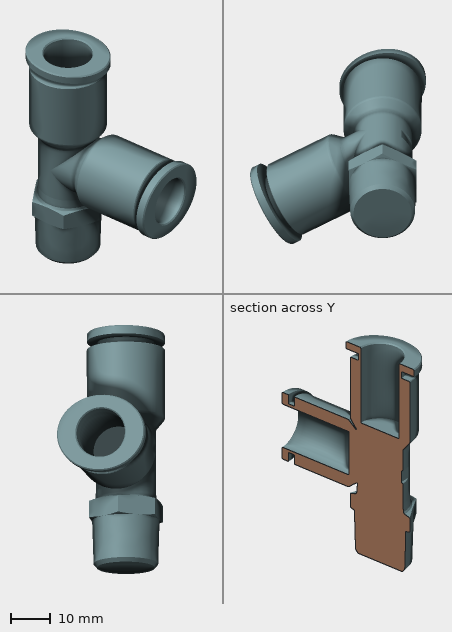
import cadquery as cq
import math


PIPE_RADIUS = 7.55
SOCKET_RADIUS = 9.85
SHOULDER_START = 7.5
SHOULDER_END = 10.35
SHOULDER_FILLET = 1.0
SOCKET_END = 28.2
SOCKET_EDGE_CHAMFER = 0.2

SLEEVE_RADIUS = 7.15
COLLAR_LENGTH = 22.5
COLLAR_WIDTH = 19.5
COLLAR_THICKNESS = 2.2
COLLAR_EDGE_CHAMFER = 0.3
BUTTON_END = 32.2
COLLAR_START = BUTTON_END - COLLAR_THICKNESS

BORE_RADIUS = 6.2
BORE_CHAMFER = 0.3
BORE_FLOOR = SHOULDER_END

SKIRT_TOP = -8.25
SKIRT_BOTTOM = -10.5
SKIRT_RADIUS = 7.75
FLARE_RADIUS = 8.15
HEX_TOP = -10.95
HEX_BOTTOM = -15.9
HEX_ACROSS_FLATS = 17.0
HEX_ACROSS_CORNERS = HEX_ACROSS_FLATS / math.cos(math.pi / 6)
HEX_TOP_FACE_RADIUS = 8.35
HEX_BOTTOM_FACE_RADIUS = HEX_ACROSS_FLATS / 2
HEX_CHAMFER_ANGLE = math.radians(16)
THREAD_TOP_RADIUS = HEX_ACROSS_FLATS / 2
THREAD_TAPER = 1 / 16
THREAD_END = -27.95
THREAD_CHAMFER_HEIGHT = 1.0
THREAD_END_RADIUS = 7.3

NOTCH_FLOOR_X = -7.05
NOTCH_CENTER_Z = -0.4
NOTCH_FLOOR_HEIGHT = 3.2
NOTCH_MOUTH_HEIGHT = 3.8


def cone(radius_bottom, radius_top, z_bottom, z_top):
    """Solid cone frustum on the Z axis."""
    profile = [(0, z_bottom), (radius_bottom, z_bottom), (radius_top, z_top), (0, z_top)]
    return cq.Workplane("XZ").polyline(profile).close().revolve(360, (0, 0), (0, 1))


def cylinder(radius, z_bottom, z_top):
    """Solid cylinder on the Z axis."""
    return cq.Workplane("XY").workplane(offset=z_bottom).circle(radius).extrude(z_top - z_bottom)


def socket_body():
    """Upright pipe that widens through a rounded conical shoulder into the socket."""
    profile = [
        (0, 0),
        (PIPE_RADIUS, 0),
        (PIPE_RADIUS, SHOULDER_START),
        (SOCKET_RADIUS, SHOULDER_END),
        (SOCKET_RADIUS, SOCKET_END),
        (0, SOCKET_END),
    ]
    body = cq.Workplane("XZ").polyline(profile).close().revolve(360, (0, 0), (0, 1))
    reach = 2 * SOCKET_RADIUS
    shoulder_zone = cq.selectors.BoxSelector(
        (-reach, -reach, SHOULDER_START - SHOULDER_FILLET),
        (reach, reach, SHOULDER_END + SHOULDER_FILLET),
        boundingbox=True,
    )
    body = body.edges("%CIRCLE").edges(shoulder_zone).fillet(SHOULDER_FILLET)
    return body.faces(">Z").edges().chamfer(SOCKET_EDGE_CHAMFER)


def release_button():
    """Sleeve and oval collar, with the collar's long axis along X."""
    sleeve = cylinder(SLEEVE_RADIUS, SHOULDER_END, COLLAR_START)
    collar = (
        cq.Workplane("XY")
        .workplane(offset=COLLAR_START)
        .ellipse(COLLAR_LENGTH / 2, COLLAR_WIDTH / 2)
        .extrude(COLLAR_THICKNESS)
        .faces(">Z")
        .edges()
        .chamfer(COLLAR_EDGE_CHAMFER)
    )
    return sleeve.union(collar)


def tube_bore():
    """Blind bore with a chamfered mouth."""
    bore = cylinder(BORE_RADIUS, BORE_FLOOR, BUTTON_END)
    mouth = cone(BORE_RADIUS, BORE_RADIUS + BORE_CHAMFER, BUTTON_END - BORE_CHAMFER, BUTTON_END)
    return bore.union(mouth)


def onto_branch(shape):
    """Lay an upright shape along +X, turning its X direction into Y."""
    return shape.rotate((0, 0, 0), (0, 0, 1), 90).rotate((0, 0, 0), (0, 1, 0), 90)


def hexagon():
    """Hexagon with corners on +X and -X, chamfered above and below by shallow cones."""
    height = HEX_TOP - HEX_BOTTOM
    prism = cq.Workplane("XY").workplane(offset=HEX_BOTTOM).polygon(6, HEX_ACROSS_CORNERS).extrude(height)
    slope = math.tan(HEX_CHAMFER_ANGLE)
    top_envelope_radius = HEX_TOP_FACE_RADIUS + height / slope
    bottom_envelope_radius = HEX_BOTTOM_FACE_RADIUS + height / slope
    prism = prism.intersect(cone(top_envelope_radius, HEX_TOP_FACE_RADIUS, HEX_BOTTOM, HEX_TOP))
    return prism.intersect(cone(HEX_BOTTOM_FACE_RADIUS, bottom_envelope_radius, HEX_BOTTOM, HEX_TOP))


def thread_body():
    """Plain tapered body standing in for the pipe thread, with a chamfered end."""
    chamfer_top = THREAD_END + THREAD_CHAMFER_HEIGHT
    taper_length = HEX_BOTTOM - chamfer_top
    small_radius = THREAD_TOP_RADIUS - taper_length * THREAD_TAPER / 2
    taper = cone(small_radius, THREAD_TOP_RADIUS, chamfer_top, HEX_BOTTOM)
    return taper.union(cone(THREAD_END_RADIUS, small_radius, THREAD_END, chamfer_top))


def lower_run():
    """Pipe below the branch axis, ending in skirt, flare, hexagon and thread body."""
    pipe = cylinder(PIPE_RADIUS, SKIRT_TOP, 0)
    skirt = cone(SKIRT_RADIUS, PIPE_RADIUS, SKIRT_BOTTOM, SKIRT_TOP)
    flare = cone(FLARE_RADIUS, SKIRT_RADIUS, HEX_TOP, SKIRT_BOTTOM)
    return pipe.union(skirt).union(flare).union(hexagon()).union(thread_body())


def notch():
    """Shallow flat-bottomed cut across the pipe, with sloping upper and lower walls."""
    half_floor = NOTCH_FLOOR_HEIGHT / 2
    half_mouth = NOTCH_MOUTH_HEIGHT / 2
    profile = [
        (NOTCH_FLOOR_X, NOTCH_CENTER_Z - half_floor),
        (NOTCH_FLOOR_X, NOTCH_CENTER_Z + half_floor),
        (-PIPE_RADIUS, NOTCH_CENTER_Z + half_mouth),
        (-PIPE_RADIUS, NOTCH_CENTER_Z - half_mouth),
    ]
    return cq.Workplane("XZ").polyline(profile).close().extrude(PIPE_RADIUS, both=True)


socket = socket_body().union(release_button())
result = socket.union(onto_branch(socket)).union(lower_run())
result = result.cut(tube_bore()).cut(onto_branch(tube_bore())).cut(notch())